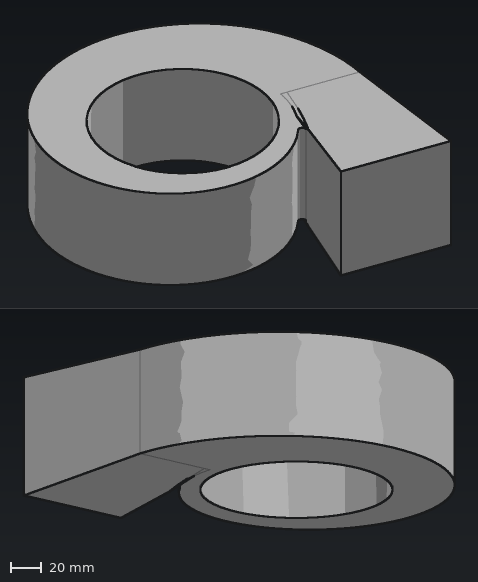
import cadquery as cq
import math

casing_height = 71.2
inlet_radius = 72.0
outlet_radius = 130.3
bore_radius = 62.9
spiral_steps = 24

duct_length = 108.0
mouth_size = 81.0
mouth_center_y = 101.4

tongue_radius = 2.6
bevel_width_start = 4.5
bevel_length = 50.2
bevel_sweep = math.radians(39)
bevel_steps = 4
cutter_clearance = 19.1

half_height = casing_height / 2
spiral_rate = math.log(outlet_radius / inlet_radius) / (2 * math.pi)


def spiral_point(turn):
    """Point on the spiral after turning clockwise from +Y by the given angle."""
    radius = inlet_radius * math.exp(spiral_rate * turn)
    return (radius * math.sin(turn), radius * math.cos(turn))


def make_casing():
    points = [spiral_point(2 * math.pi * i / spiral_steps) for i in range(spiral_steps + 1)]
    return (
        cq.Workplane("XY")
        .workplane(offset=-half_height)
        .spline(points)
        .close()
        .extrude(casing_height)
    )


def make_duct():
    throat_height = outlet_radius - inlet_radius
    throat_center_y = (outlet_radius + inlet_radius) / 2
    return (
        cq.Workplane("YZ")
        .center(throat_center_y, 0)
        .rect(throat_height, casing_height)
        .workplane(offset=duct_length)
        .center(mouth_center_y - throat_center_y, 0)
        .rect(mouth_size, mouth_size)
        .loft(ruled=True, combine=True)
    )


def bevel_section(turn, side):
    """Cutter outline at one station, sloping from the casing face up to the duct face."""
    x, low_y = spiral_point(turn)
    progress = x / duct_length
    rise = progress * (mouth_size - casing_height) / 2
    floor_y = inlet_radius + progress * (mouth_center_y - mouth_size / 2 - inlet_radius)
    bevel_end = bevel_length / duct_length
    high_y = floor_y + bevel_width_start * (1 - (progress / bevel_end) ** 2)
    clear_y = low_y - cutter_clearance
    clear_z = half_height + cutter_clearance
    outline = [
        (low_y, half_height),
        (high_y, half_height + rise),
        (high_y, clear_z),
        (clear_y, clear_z),
        (clear_y, half_height),
    ]
    return cq.Wire.makePolygon([cq.Vector(x, y, side * z) for y, z in outline], close=True)


def make_bevel_cutter(side):
    sections = [bevel_section(bevel_sweep * i / bevel_steps, side) for i in range(bevel_steps + 1)]
    return cq.Workplane(obj=cq.Solid.makeLoft(sections, False))


body = make_casing().union(make_duct())

notch_x = 28.7
notch_y = 69.0
search_margin = 4.8
notch_box = cq.selectors.BoxSelector(
    (notch_x - search_margin, notch_y - search_margin, -search_margin),
    (notch_x + search_margin, notch_y + search_margin, search_margin),
)
body = body.edges(notch_box).fillet(tongue_radius)

for side in (1, -1):
    body = body.cut(make_bevel_cutter(side))

bore = cq.Workplane("XY").workplane(offset=-half_height).circle(bore_radius).extrude(casing_height)
result = body.cut(bore)